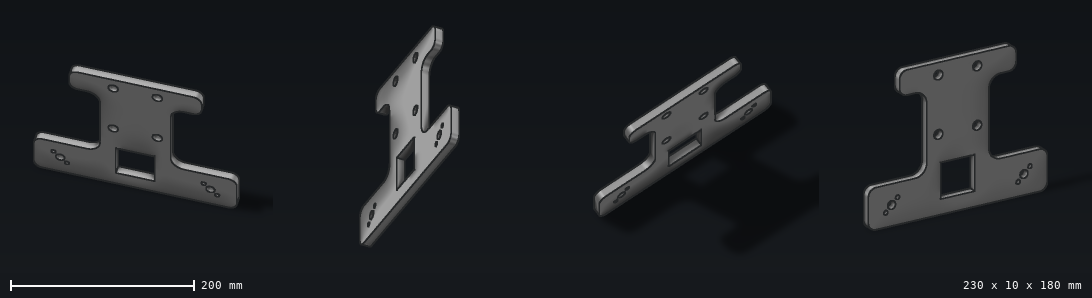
import cadquery as cq

base_width = 230.0
plate_height = 180.0
thickness = 10.0

base_height = 50.0
column_width = 80.0
top_width = 150.0
top_height = 30.0
outer_radius = 10.0
inner_radius = 15.0

mount_diameter = 11.0
mount_spacing_x = 50.0
mount_spacing_z = 70.0
mount_top_margin = 15.0

window_width = 43.7
window_height = 43.0
window_bottom = 18.5

group_spacing = 170.0
group_height = base_height / 2
main_diameter = 10.0
small_diameter = 5.0
small_offset = 7.5


def bar(width, bottom, height):
    """Full-thickness rectangular bar centred on X = 0 and Y = 0."""
    return cq.Workplane("XY").box(width, thickness, height).translate((0, 0, bottom + height / 2))


def round_bar(width, bottom, height):
    """Bar with its four outer corners rounded."""
    return bar(width, bottom, height).edges("|Y").fillet(outer_radius)


def hole_cutter(points, diameter):
    """Cylinders along Y through the plate at the given (x, z) points."""
    return cq.Workplane("XZ").pushPoints(points).circle(diameter / 2).extrude(thickness, both=True)


top_bottom = plate_height - top_height
plate = (
    round_bar(base_width, 0, base_height)
    .union(round_bar(top_width, top_bottom, top_height))
    .union(bar(column_width, base_height / 2, plate_height - base_height / 2 - top_height / 2))
)
for corner_z in (base_height, top_bottom):
    for side in (-1, 1):
        corner = (side * column_width / 2, 0, corner_z)
        plate = plate.edges(cq.selectors.NearestToPointSelector(corner)).fillet(inner_radius)

mount_center_z = plate_height - mount_top_margin - mount_spacing_z / 2
mount_points = [
    (i * mount_spacing_x / 2, mount_center_z + j * mount_spacing_z / 2)
    for i in (-1, 1)
    for j in (-1, 1)
]
plate = plate.cut(hole_cutter(mount_points, mount_diameter))

plate = plate.cut(bar(window_width, window_bottom, window_height))

for side in (-1, 1):
    group_x = side * group_spacing / 2
    small_points = [(group_x + i * small_offset, group_height - i * small_offset) for i in (-1, 1)]
    plate = plate.cut(hole_cutter([(group_x, group_height)], main_diameter))
    plate = plate.cut(hole_cutter(small_points, small_diameter))

result = plate